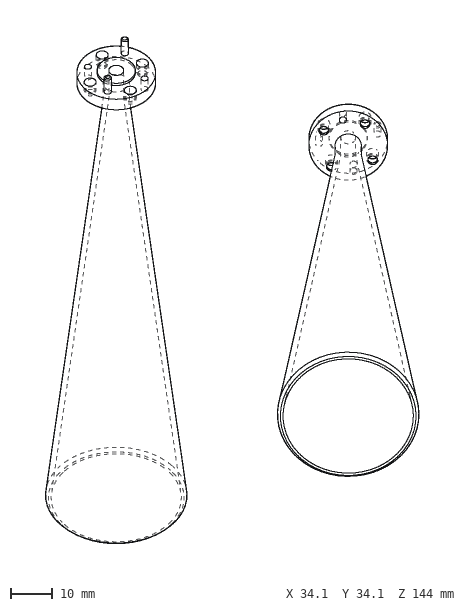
import cadquery as cq

total_height = 144.0
pin_length = 4.9
boss_height = 0.7
flange_thickness = 3.5
neck_length = 5.2
rim_height = 0.9

flange_top = total_height - pin_length
flange_bottom = flange_top - flange_thickness
neck_bottom = flange_bottom - neck_length

mouth_radius = 34.1 / 2
rim_chamfer = 0.7
neck_radius = 6.3 / 2
flange_radius = 19.0 / 2
boss_radius = 9.2 / 2
bore_radius = 3.6 / 2
wall = neck_radius - bore_radius

bolt_circle_radius = 7.14
screw_hole_diameter = 2.3
counterbore_diameter = 2.9
counterbore_depth = 2.6
pin_diameter = 1.7
pin_chamfer = 0.3
pin_hole_diameter = 1.7


def turned_body():
    """Hollow horn with a flange: walls follow the outer cone inside."""
    profile = [
        (bore_radius, flange_top + boss_height),
        (boss_radius, flange_top + boss_height),
        (boss_radius, flange_top),
        (flange_radius, flange_top),
        (flange_radius, flange_bottom),
        (neck_radius, flange_bottom),
        (neck_radius, neck_bottom),
        (mouth_radius, rim_height),
        (mouth_radius - rim_chamfer, 0),
        (mouth_radius - wall, 0),
        (bore_radius, neck_bottom),
    ]
    return cq.Workplane("XZ").polyline(profile).close().revolve(360, (0, 0), (0, 1))


def flange_cylinders(diameter, start_angle, count, bottom, height):
    """Equally spaced vertical cylinders on the bolt circle."""
    return (
        cq.Workplane("XY")
        .workplane(offset=bottom)
        .polarArray(bolt_circle_radius, start_angle, 360, count)
        .circle(diameter / 2)
        .extrude(height)
    )


screw_holes = flange_cylinders(screw_hole_diameter, 0, 4, flange_bottom, flange_thickness)
counterbores = flange_cylinders(
    counterbore_diameter, 0, 4, flange_top - counterbore_depth, counterbore_depth
)
pin_holes = flange_cylinders(pin_hole_diameter, 45, 2, flange_bottom, flange_thickness)
pins = flange_cylinders(pin_diameter, 135, 2, flange_bottom, flange_thickness + pin_length)
pins = pins.faces(">Z").chamfer(pin_chamfer)

result = turned_body().cut(screw_holes).cut(counterbores).cut(pin_holes).union(pins)